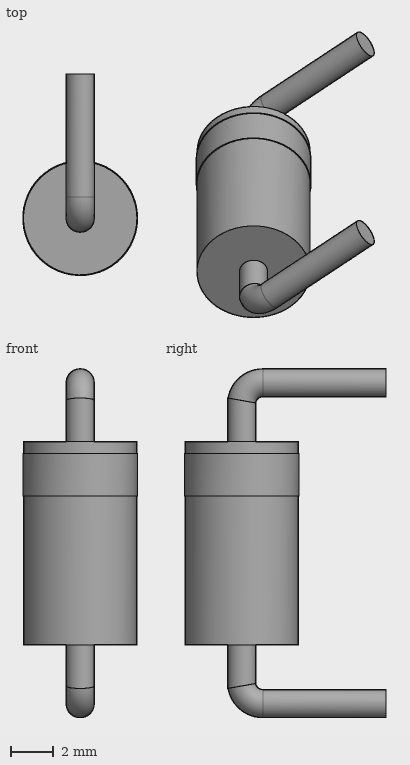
import cadquery as cq
import math

body_diameter = 5.3
body_length = 9.5
body_top = body_length / 2
body_bottom = -body_length / 2

band_diameter = 5.37
band_height = 2.0
band_top_inset = 0.55

lead_diameter = 1.32
lead_pitch = 15.0
lead_reach = 6.745
bend_radius = 1.0
bend_angle = 80.0

lead_radius = lead_diameter / 2
lead_height = lead_pitch / 2
bend_center_y = bend_radius * math.sin(math.radians(bend_angle))
bend_center_z = lead_height - bend_radius


def make_body():
    return cq.Workplane("XY").workplane(offset=body_bottom).circle(body_diameter / 2).extrude(body_length)


def make_band():
    band_bottom = body_top - band_top_inset - band_height
    return (
        cq.Workplane("XY")
        .workplane(offset=band_bottom)
        .circle(band_diameter / 2)
        .circle(body_diameter / 2)
        .extrude(band_height)
    )


def make_upper_lead():
    """Stem rising from the top face, a bend, and a horizontal run toward +Y, as one solid."""
    run_start = cq.Plane(origin=(0, bend_center_y, lead_height), xDir=(1, 0, 0), normal=(0, 1, 0))
    run = cq.Workplane(run_start).circle(lead_radius).extrude(lead_reach - bend_center_y)

    bend_axis_start = (0, bend_radius)
    bend_axis_end = (1, bend_radius)
    bend = cq.Workplane(run_start).circle(lead_radius).revolve(bend_angle, bend_axis_start, bend_axis_end)

    seam_plane = cq.Plane(
        origin=(0, bend_center_y, bend_center_z),
        xDir=(1, 0, 0),
        normal=(0, math.cos(math.radians(bend_angle)), math.sin(math.radians(bend_angle))),
    )
    above_seam = cq.Workplane(seam_plane).rect(lead_pitch, lead_pitch).extrude(lead_pitch)
    stem = (
        cq.Workplane("XY")
        .workplane(offset=body_top)
        .circle(lead_radius)
        .extrude(lead_height - body_top)
        .cut(above_seam)
    )
    return stem.union(bend).union(run)


body = make_body()
band = make_band()

leads = []
for turn in (0, 180):
    leads.append(make_upper_lead().rotate((0, 0, 0), (0, 1, 0), turn))

result = cq.Compound.makeCompound([body.val(), band.val(), *[lead.val() for lead in leads]])